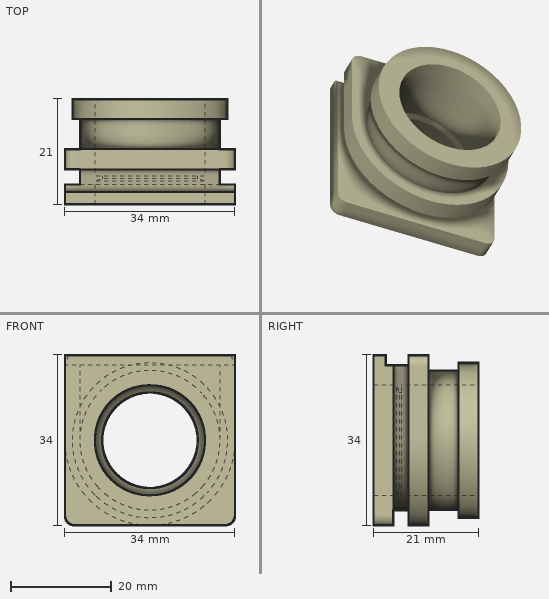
import cadquery as cq

width = 34.0
half_width = width / 2
corner_radius = 2.0

plate_end = 4.0
plate_lip_end = 2.5
ledge_drop = 2.0
ledge_height = half_width - ledge_drop

collar_start = 7.0
collar_end = 11.0
rim_start = 17.0
rim_end = 21.0
body_diameter = 27.95
rim_diameter = 31.0

recess_diameter = 22.0
recess_depth = 4.62
throat_diameter = 19.05
throat_start = 5.2
throat_end = 5.65
rear_bore_diameter = recess_diameter


def section(start):
    """Workplane parallel to XZ at the given depth; its normal is -Y, so extruding toward +Y is negative."""
    return cq.Workplane("XZ", origin=(0, start, 0))


def disc(diameter, start, end):
    """Round disc about the Y axis."""
    return section(start).circle(diameter / 2).extrude(start - end)


def arch(arch_width, top, start, end):
    """Flat-topped block with straight sides above Z = 0 and a half-round below."""
    radius = arch_width / 2
    return (
        section(start)
        .moveTo(-radius, 0)
        .lineTo(-radius, top)
        .lineTo(radius, top)
        .lineTo(radius, 0)
        .threePointArc((0, -radius), (-radius, 0))
        .close()
        .extrude(start - end)
    )


def front_plate():
    """Square plate with rounded lower corners and a ledge cut into its rear top edge."""
    plate = section(0).rect(width, width).extrude(-plate_end)
    plate = plate.edges("|Y and <Z").fillet(corner_radius)
    ledge_length = plate_end - plate_lip_end
    ledge = cq.Workplane("XY").box(width, ledge_length, ledge_drop, centered=(True, False, False))
    return plate.cut(ledge.translate((0, plate_lip_end, ledge_height)))


def collar():
    """Full-width arch with rounded upper corners."""
    block = arch(width, half_width, collar_start, collar_end)
    return block.edges("|Y and >Z").fillet(corner_radius)


def bore():
    """Revolved cutter whose profile is drawn as (radius, depth)."""
    profile = [
        (0, 0),
        (recess_diameter / 2, 0),
        (recess_diameter / 2, recess_depth),
        (throat_diameter / 2, throat_start),
        (throat_diameter / 2, throat_end),
        (rear_bore_diameter / 2, throat_end),
        (rear_bore_diameter / 2, rim_end),
        (0, rim_end),
    ]
    return cq.Workplane("XY").polyline(profile).close().revolve(360, (0, 0, 0), (0, 1, 0))


result = (
    front_plate()
    .union(arch(body_diameter, ledge_height, plate_end, collar_start))
    .union(collar())
    .union(disc(body_diameter, collar_end, rim_start))
    .union(disc(rim_diameter, rim_start, rim_end))
    .cut(bore())
)